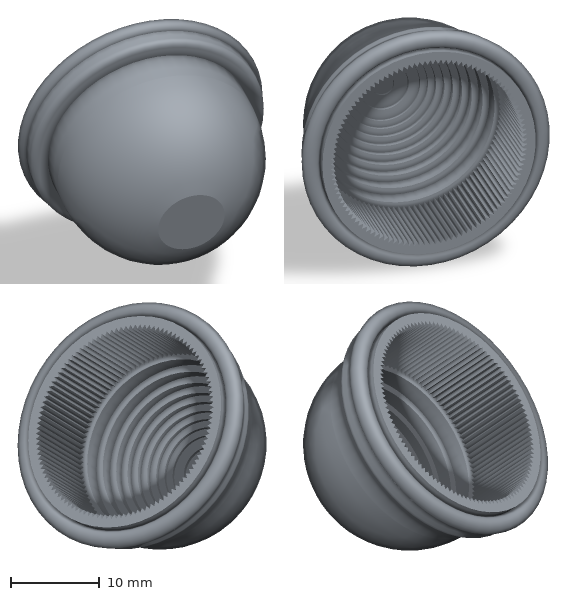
import cadquery as cq
import math

TOTAL_LENGTH = 19.5
OUTER_DIAMETER = 29.0

SEAT_RADIUS = 25.0 / 2
FLANGE_START = 2.38

FLANGE_RADIUS = 27.75 / 2
FLANGE_END = 4.4
FLANGE_FILLET = 0.7

BARREL_RADIUS = 24.0 / 2
BARREL_END = 7.98
DOME_CENTER_X = 8.15

TOOTH_COUNT = 115
TOOTH_TIP_RADIUS = 11.0
TOOTH_ROOT_RADIUS = 11.5
TEETH_DEPTH = 10.0

LARGEST_STEP_RADIUS = 21.02 / 2
EVEN_STEP_COUNT = 9
SMALLEST_EVEN_STEP_RADIUS = 8.25 / 2
CENTER_STEP_RADII = [5.75 / 2, 2.55 / 2]
STEP_SPHERE_RADIUS = 11.25

CORD_RADIUS = (OUTER_DIAMETER / 2 - SEAT_RADIUS) / 2
RING_RADIUS = SEAT_RADIUS + CORD_RADIUS
RING_CENTER_X = FLANGE_START - CORD_RADIUS
DOME_RADIUS = math.hypot(BARREL_RADIUS, DOME_CENTER_X - BARREL_END)
STEP_WIDTH = (LARGEST_STEP_RADIUS - SMALLEST_EVEN_STEP_RADIUS) / (EVEN_STEP_COUNT - 1)
STEP_RADII = [LARGEST_STEP_RADIUS - STEP_WIDTH * i for i in range(EVEN_STEP_COUNT)] + CENTER_STEP_RADII


def sphere_radius_at(x):
    """Radius of the dome's cross-section at position x."""
    return math.sqrt(DOME_RADIUS**2 - (x - DOME_CENTER_X) ** 2)


def step_depth(radius):
    """X position where a step of this radius meets the sphere that the step corners lie on."""
    return DOME_CENTER_X + math.sqrt(STEP_SPHERE_RADIUS**2 - radius**2)


def revolve_about_x(profile):
    return profile.close().revolve(360, (0, 0, 0), (1, 0, 0))


def make_outer_body():
    """Seat, flange, barrel and truncated dome as one turned solid."""
    dome_middle_x = (BARREL_END + TOTAL_LENGTH) / 2
    profile = (
        cq.Workplane("XY")
        .lineTo(0, SEAT_RADIUS)
        .lineTo(FLANGE_START, SEAT_RADIUS)
        .lineTo(FLANGE_START, FLANGE_RADIUS)
        .lineTo(FLANGE_END - FLANGE_FILLET, FLANGE_RADIUS)
        .radiusArc((FLANGE_END, FLANGE_RADIUS - FLANGE_FILLET), FLANGE_FILLET)
        .lineTo(FLANGE_END, BARREL_RADIUS)
        .lineTo(BARREL_END, BARREL_RADIUS)
        .threePointArc(
            (dome_middle_x, sphere_radius_at(dome_middle_x)),
            (TOTAL_LENGTH, sphere_radius_at(TOTAL_LENGTH)),
        )
        .lineTo(TOTAL_LENGTH, 0)
    )
    return revolve_about_x(profile)


def make_serrated_bore():
    """Star-shaped prism whose V-shaped points form the teeth; one tooth tip points along -Y."""
    half_pitch = math.pi / TOOTH_COUNT
    points = []
    for i in range(2 * TOOTH_COUNT):
        radius = TOOTH_TIP_RADIUS if i % 2 == 0 else TOOTH_ROOT_RADIUS
        angle = math.pi + i * half_pitch
        points.append((radius * math.cos(angle), radius * math.sin(angle)))
    return cq.Workplane("YZ").polyline(points).close().extrude(TEETH_DEPTH)


def make_stepped_bore():
    """Stack of ever smaller cylinders that follows the dome to its end."""
    profile = cq.Workplane("XY").lineTo(0, STEP_RADII[0])
    for radius, next_radius in zip(STEP_RADII, STEP_RADII[1:] + [0]):
        depth = step_depth(radius)
        profile = profile.lineTo(depth, radius).lineTo(depth, next_radius)
    return revolve_about_x(profile)


def make_cap():
    return make_outer_body().cut(make_stepped_bore()).cut(make_serrated_bore())


def make_o_ring():
    """Round-cord ring resting on the seat and against the flange."""
    section = cq.Workplane("XY").moveTo(RING_CENTER_X, RING_RADIUS).circle(CORD_RADIUS)
    return section.revolve(360, (0, 0, 0), (1, 0, 0))


cap = make_cap()
o_ring = make_o_ring()

result = cq.Compound.makeCompound([cap.val(), o_ring.val()])